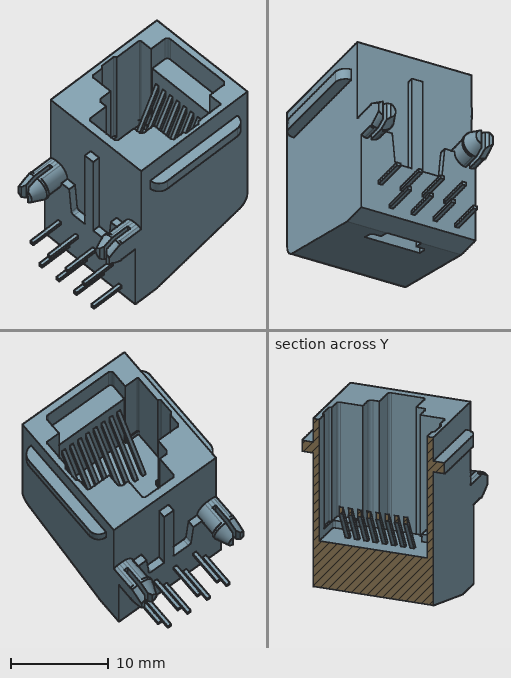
import cadquery as cq


body_width = 13.29
body_depth = 15.2
body_height = 20.6
flat_bottom_depth = 2.2
back_bottom_height = 3.1
back_corner_radius = 1.55

standoff = 0.85
standoff_height = 10.07
notch_bottom = 6.5
notch_bottom_half = 2.72
notch_top_half = 3.05
notch_radius = 0.35
rib_width = 1.24
rib_offset = -0.15
rib_top = 17.45

overall_width = 15.75
ear_projection = (overall_width - body_width) / 2
ear_front = 1.3
ear_back = 13.75
ear_bottom = 16.73
ear_top = 17.98

floor_z = 7.1
step_height = 0.82
step_z = floor_z + step_height
plug_half, plug_front, plug_back = 5.95, 5.2, 12.1
lower_plug_front, lower_plug_back = 6.43, 12.0
lower_throat_half = 3.85
neck_half, neck_front, neck_back = 3.17, 3.46, 4.82
key_half, key_front, key_ramp_end = 2.04, 0.95, flat_bottom_depth
contact_bay_half, contact_wall, contact_bay_back = 4.3, 12.25, 14.42
relief_half, relief_front, relief_back = 6.22, 6.74, 8.8
plug_front_radius = 0.27
plug_back_radius = 0.12
relief_radius = 0.23
neck_radius = 0.4
key_radius = 0.3
bay_radius = 0.41
shelf_z = 17.35
key_ramp_height = 4.12

position_count = 8
wire_width = 0.43
wire_thickness = 0.37
contact_row_span = 7.15
contact_pitch = contact_row_span / (position_count - 1)
contact_top = 15.35
contact_tip_y = 8.0
pin_row_span = 8.9
pin_pitch = pin_row_span / (position_count - 1)
pin_length = 3.98
pin_row_low = 1.11
pin_row_high = 3.63

peg_x = 5.73
peg_z = standoff_height
peg_radius = 1.48
peg_tip_radius = 0.85
peg_shaft_radius = 1.55
peg_slot = 0.41
peg_shaft_end = 2.76
peg_collar_end = 3.05
peg_tip = 4.6
peg_flare_width = 0.27
peg_flare_length = 0.4


def box_between(x_min, x_max, y_min, y_max, z_min, z_max):
    size = (x_max - x_min, y_max - y_min, z_max - z_min)
    return cq.Workplane("XY").box(*size, centered=False).translate((x_min, y_min, z_min))


def centered_pocket(half_width, y_min, y_max, z_min):
    """Block symmetric about X = 0, running from z_min up to the top of the housing."""
    return box_between(-half_width, half_width, y_min, y_max, z_min, body_height)


def housing():
    shell = (
        cq.Workplane("YZ", origin=(-body_width / 2, 0, 0))
        .polyline([
            (0, 0),
            (flat_bottom_depth, 0),
            (body_depth, back_bottom_height),
            (body_depth, body_height),
            (0, body_height),
        ])
        .close()
        .extrude(body_width)
    )
    back_corner = cq.selectors.NearestToPointSelector((0, body_depth, back_bottom_height))
    return shell.edges(back_corner).fillet(back_corner_radius)


def standoff_pad():
    pad = box_between(-body_width / 2, body_width / 2, -standoff, 0, 0, standoff_height)
    notch = (
        cq.Workplane("XZ")
        .polyline([
            (-notch_bottom_half, notch_bottom),
            (notch_bottom_half, notch_bottom),
            (notch_top_half, standoff_height),
            (-notch_top_half, standoff_height),
        ])
        .close()
        .extrude(standoff)
        .edges("|Y")
        .edges("<Z")
        .fillet(notch_radius)
    )
    rib = box_between(
        rib_offset - rib_width / 2, rib_offset + rib_width / 2, -standoff, 0, notch_bottom, rib_top
    )
    return pad.cut(notch).union(rib)


def ears():
    ear_length = ear_back - ear_front
    return (
        cq.Workplane("XY", origin=(0, (ear_front + ear_back) / 2, ear_bottom))
        .rect(overall_width, ear_length)
        .extrude(ear_top - ear_bottom)
        .edges("|Z")
        .fillet(ear_projection)
    )


def key_slot():
    """Latch slot, open through the bottom, with a ramp on its front side."""
    slot = (
        cq.Workplane("YZ", origin=(-key_half, 0, 0))
        .polyline([
            (key_front, body_height),
            (key_front, key_ramp_height),
            (key_ramp_end, 0),
            (neck_back, 0),
            (neck_back, body_height),
        ])
        .close()
        .extrude(2 * key_half)
    )
    front_edges = cq.selectors.BoxSelector(
        (-body_width, 0, 0), (body_width, key_ramp_end, body_height)
    )
    return slot.edges("not (|X or |Y)").edges(front_edges).fillet(key_radius)


def plug_block(y_min, y_max, z_min):
    """Full-width plug space with rounded corners."""
    block = centered_pocket(plug_half, y_min, y_max, z_min)
    block = block.edges("|Z and <Y").fillet(plug_front_radius)
    return block.edges("|Z and >Y").fillet(plug_back_radius)


def plug_opening():
    plug = plug_block(plug_front, plug_back, step_z)
    lower_plug = plug_block(lower_plug_front, lower_plug_back, floor_z)
    lower_throat = centered_pocket(lower_throat_half, plug_front, lower_plug_back, floor_z)
    relief = centered_pocket(relief_half, relief_front, relief_back, step_z)
    relief = relief.edges("|Z").fillet(relief_radius)
    neck = centered_pocket(neck_half, neck_front, neck_back, 0)
    neck = neck.edges("|Z and <Y").fillet(neck_radius)
    neck_to_plug = centered_pocket(neck_half, neck_back, plug_front, floor_z)
    contact_bay = centered_pocket(contact_bay_half, lower_plug_front, contact_wall, floor_z)
    shelf_bay = centered_pocket(contact_bay_half, plug_front, contact_bay_back, shelf_z)
    shelf_bay = shelf_bay.edges("|Z and >Y").fillet(bay_radius)
    opening = plug.union(lower_plug).union(lower_throat).union(relief).union(neck).union(neck_to_plug)
    return opening.union(contact_bay).union(shelf_bay).union(key_slot())


def add_contacts(part):
    """Wires slanting down from the shelf wall to the pocket floor."""
    drop = contact_top - floor_z
    run = contact_wall - contact_tip_y
    length = (run**2 + drop**2) ** 0.5
    vertical_thickness = wire_thickness * length / run
    for i in range(position_count):
        x = (i - (position_count - 1) / 2) * contact_pitch
        wire = (
            cq.Workplane("YZ", origin=(x - wire_width / 2, 0, 0))
            .polyline([
                (contact_wall, contact_top),
                (contact_tip_y, floor_z),
                (contact_tip_y + vertical_thickness * run / drop, floor_z),
                (contact_wall, contact_top - vertical_thickness),
            ])
            .close()
            .extrude(wire_width)
        )
        part = part.union(wire)
    return part


def add_pins(part):
    """Solder pins staggered in two rows."""
    for i in range(position_count):
        x = (i - (position_count - 1) / 2) * pin_pitch
        z = pin_row_high if i % 2 == 0 else pin_row_low
        pin = (
            cq.Workplane("XZ", origin=(x, -standoff, z))
            .rect(wire_width, wire_thickness)
            .extrude(pin_length)
        )
        part = part.union(pin)
    return part


def peg_outline(radius, y):
    """Outline of two half circles separated by the slot width."""
    return cq.Workplane("XZ", origin=(0, y, 0)).slot2D(2 * radius + peg_slot, 2 * radius)


def snap_peg(center_x):
    shaft = peg_outline(peg_radius, 0).extrude(peg_shaft_end)
    shaft = shaft.intersect(cq.Workplane("XZ").circle(peg_shaft_radius).extrude(peg_shaft_end))
    collar = peg_outline(peg_radius, -peg_shaft_end).extrude(peg_collar_end - peg_shaft_end)
    cone = (
        peg_outline(peg_radius, -peg_collar_end)
        .workplane(offset=peg_tip - peg_collar_end)
        .slot2D(2 * peg_tip_radius + peg_slot, 2 * peg_tip_radius)
        .loft(ruled=True)
    )
    slot_half = peg_slot / 2
    flare_half = slot_half + peg_flare_width
    flare_start = -peg_tip + peg_flare_length
    slot = (
        cq.Workplane("XY")
        .polyline([
            (-slot_half, -standoff),
            (-slot_half, flare_start),
            (-flare_half, -peg_tip),
            (flare_half, -peg_tip),
            (slot_half, flare_start),
            (slot_half, -standoff),
        ])
        .close()
        .extrude(peg_radius, both=True)
    )
    peg = shaft.union(collar).union(cone).cut(slot).translate((center_x, 0, peg_z))
    side_limits = box_between(-body_width / 2, body_width / 2, -peg_tip, 0, 0, body_height)
    return peg.intersect(side_limits)


result = housing().union(standoff_pad()).union(ears()).cut(plug_opening())
result = add_contacts(result)
result = add_pins(result)
for peg_center in (-peg_x, peg_x):
    result = result.union(snap_peg(peg_center))